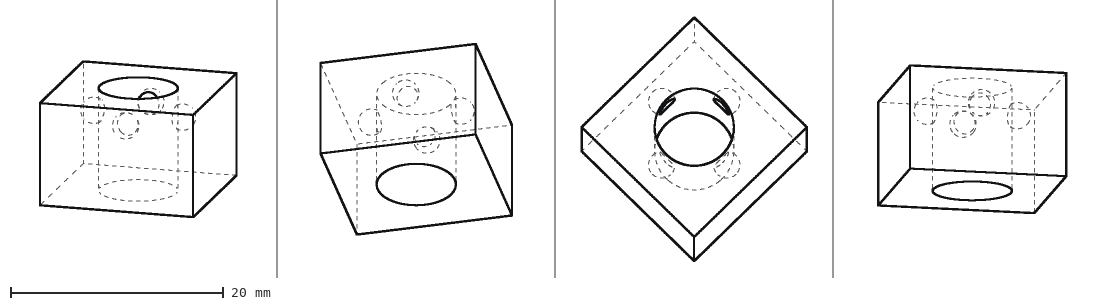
import cadquery as cq

side = 15.0
height = 10.0

bore_diameter = 7.45

seat_count = 4
seat_spacing = 360 / seat_count
ball_radius = 1.25
ball_setback = 0.6
ball_depth_below_top = 2.5

ball_distance = bore_diameter / 2 + ball_setback
ball_height = height - ball_depth_below_top


def bore():
    """Through bore, turned so that its seam line falls between two ball seats."""
    cylinder = cq.Workplane("XY").circle(bore_diameter / 2).extrude(height)
    return cylinder.rotate((0, 0, 0), (0, 0, 1), seat_spacing / 2)


def ball_seat(angle):
    """Ball breaking into the bore, turned about the Z axis from +X by angle in degrees."""
    ball = cq.Workplane("YZ").sphere(ball_radius)
    placed_ball = ball.translate((ball_distance, 0, ball_height))
    return placed_ball.rotate((0, 0, 0), (0, 0, 1), angle)


block = cq.Workplane("XY").box(side, side, height, centered=(True, True, False))
result = block.cut(bore())

for seat in range(seat_count):
    result = result.cut(ball_seat(seat * seat_spacing))